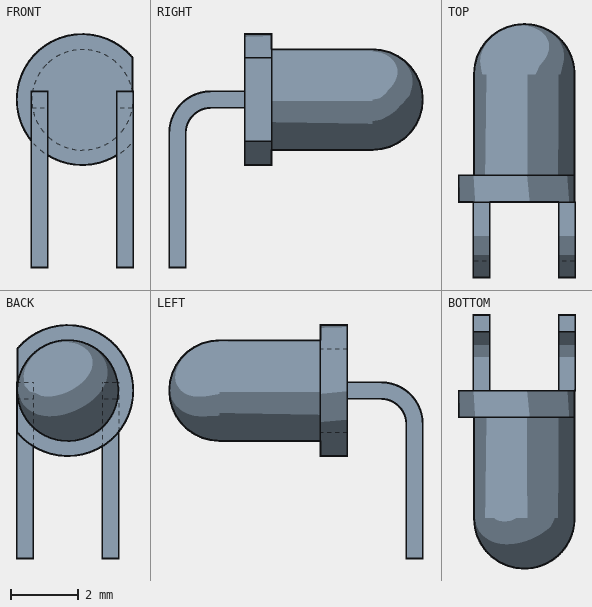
import cadquery as cq

overall_length = 7.55
overall_height = 6.95

lens_diameter = 3.005
lens_radius = lens_diameter / 2
flange_diameter = 3.9
flange_radius = flange_diameter / 2
flange_thickness = 0.8

lead_size = 0.5
lead_pitch = 2.545
lead_straight = 1.005
bend_inner_radius = 0.75
bend_outer_radius = bend_inner_radius + lead_size
bend_mid_radius = bend_inner_radius + lead_size / 2

lens_tip_y = overall_length - lead_straight - bend_outer_radius
dome_start_y = lens_tip_y - lens_radius
lead_bottom_z = flange_radius - overall_height


def make_lens():
    """Revolve the half profile of the cylinder and dome about the Y axis."""
    dome_mid = lens_radius * 0.5 ** 0.5
    return (
        cq.Workplane("XY")
        .lineTo(lens_radius, 0)
        .lineTo(lens_radius, dome_start_y)
        .threePointArc((dome_mid, dome_start_y + dome_mid), (0, lens_tip_y))
        .close()
        .revolve(360, (0, 0), (0, 1))
    )


def make_flange():
    """Round flange with a flat on +X, tangent to the lens."""
    disc = cq.Workplane("XZ").circle(flange_radius).extrude(-flange_thickness)
    kept_width = flange_radius + lens_radius
    keep = cq.Workplane("XY").box(
        kept_width, flange_thickness, flange_diameter, centered=(False, False, True)
    ).translate((-flange_radius, 0, 0))
    return disc.intersect(keep)


def make_lead(center_x):
    """Sweep a square section back from the flange, around the bend and down."""
    bend_start_y = -lead_straight
    leg_y = bend_start_y - bend_mid_radius
    path = (
        cq.Workplane("YZ", origin=(center_x, 0, 0))
        .lineTo(bend_start_y, 0)
        .tangentArcPoint((leg_y, -bend_mid_radius), relative=False)
        .lineTo(leg_y, lead_bottom_z)
    )
    section = cq.Workplane("XZ", origin=(center_x, 0, 0)).rect(lead_size, lead_size)
    return section.sweep(path)


result = make_lens().union(make_flange())
for side in (-1, 1):
    result = result.union(make_lead(side * lead_pitch / 2))